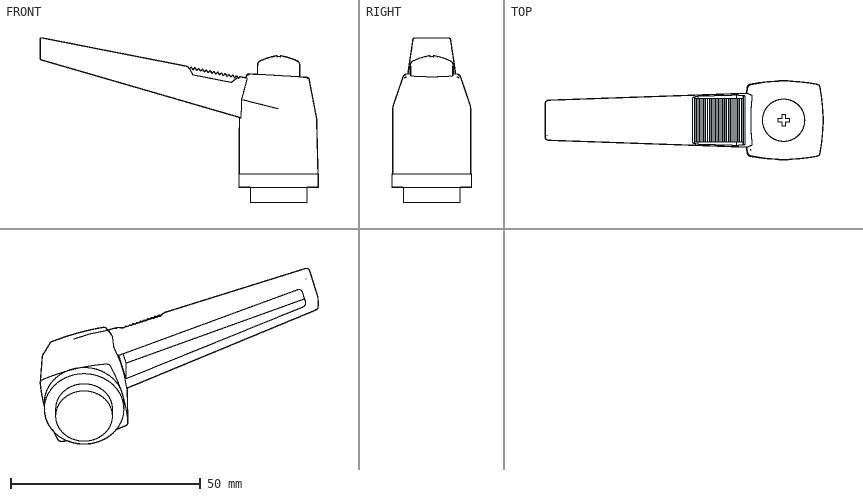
import cadquery as cq
import math


spigot_diameter = 15.0
spigot_height = 4.05
collar_diameter = 21.0
collar_top = 7.6

overall_length = 73.5
handle_end_x = collar_diameter / 2 - overall_length
handle_root_x = -3.7
handle_end_z = 43.65
handle_top_slope = 0.196
handle_end_crease_drop = 2.95
handle_end_height = 5.9
handle_underside_slope = 0.29
crease_slope = 0.253
end_top_half_width = 4.9
end_crease_half_width = 5.3
end_bottom_half_width = 5.0
root_top_half_width = 6.7
root_crease_half_width = 7.35
root_bottom_half_width = 6.6
handle_end_radius = 0.95
handle_edge_radius = 0.45

cavity_end_x = -60.3
cavity_hub_x = -10.5
cavity_end_half_width = 2.65
cavity_hub_half_width = 3.6
cavity_corner_radius = 1.1
cavity_roof_thickness = 1.9

groove_count = 14
groove_pitch = 1.0
groove_width = 0.9
groove_depth = 0.6
first_groove_x = -23.6
grip_step_half_width = 5.8
grip_step_depth = 2.0
grip_step_top_start_x = -23.8
grip_step_top_end_x = -10.45
grip_step_floor_start_x = -22.65
grip_step_floor_end_x = -12.5

base_corners = (-9.6, 9.6, 9.55)
crease_corners = (-9.5, 9.1, 9.4)
top_corners = (-8.0, 7.65, 7.1)
base_bulge = 0.8
crease_bulge = 0.95
top_bulge = 0.4
hub_corner_radius = 0.9
hub_top_z = 33.6
hub_top_slope = 0.06
hub_top_radius = 0.65

screw_diameter = 11.2
screw_rim_z = 36.3
dome_diameter = 10.0
dome_z = 37.4
crown_diameter = 5.5
crown_z = 38.3
screw_top_z = 38.95
rim_bulge = 0.185
dome_bulge = 0.1
cross_length = 3.0
cross_width = 0.95
cross_depth = 0.7


def handle_top_z(x):
    return handle_end_z - handle_top_slope * (x - handle_end_x)


def crease_z(x):
    return handle_end_z - handle_end_crease_drop - crease_slope * (x - handle_end_x)


def underside_z(x):
    return handle_end_z - handle_end_height - handle_underside_slope * (x - handle_end_x)


def cap_plane_z(x):
    return hub_top_z - hub_top_slope * x


def base_plane_z(_):
    return collar_top


def hub_section(corners, bulge, plane_z):
    """Closed outline with four bulged sides and round corners, on the plane z = plane_z(x)."""
    left, right, half_depth = corners
    middle = (left + right) / 2
    radius = hub_corner_radius
    side_tilt = 2 * math.atan(bulge / (half_depth - radius))
    corner_turn = math.pi / 2 - 2 * side_tilt
    inset = radius / 2 * (1 - math.tan(corner_turn / 4))

    def point(x, y):
        return cq.Vector(x, y, plane_z(x))

    outline = [
        (left + radius, -half_depth),
        (middle, -half_depth - bulge),
        (right - radius, -half_depth),
        (right - inset, -half_depth + inset),
        (right, -half_depth + radius),
        (right + bulge, 0),
        (right, half_depth - radius),
        (right - inset, half_depth - inset),
        (right - radius, half_depth),
        (middle, half_depth + bulge),
        (left + radius, half_depth),
        (left + inset, half_depth - inset),
        (left, half_depth - radius),
        (left - bulge, 0),
        (left, -half_depth + radius),
        (left + inset, -half_depth + inset),
    ]
    points = [point(x, y) for x, y in outline]
    points.append(points[0])
    arcs = [cq.Edge.makeThreePointArc(*points[i:i + 3]) for i in range(0, len(outline), 2)]
    return cq.Wire.assembleEdges(arcs)


def make_hub():
    """Lower body up to the sloping crease, then a tapered cap with a rounded top edge."""
    base = hub_section(base_corners, base_bulge, base_plane_z)
    crease = hub_section(crease_corners, crease_bulge, crease_z)
    top = hub_section(top_corners, top_bulge, cap_plane_z)
    hub = cq.Workplane(cq.Solid.makeLoft([base, crease, top], True))
    return hub.faces(">Z").edges().fillet(hub_top_radius)


def handle_section(x, top_half_width, crease_half_width, bottom_half_width):
    """Six-sided section of the handle, widest at the crease."""
    right_side = [
        (top_half_width, handle_top_z(x)),
        (crease_half_width, crease_z(x)),
        (bottom_half_width, underside_z(x)),
    ]
    left_side = [(-y, z) for y, z in reversed(right_side)]
    return cq.Wire.makePolygon([cq.Vector(x, y, z) for y, z in right_side + left_side], close=True)


def make_handle():
    end = handle_section(handle_end_x, end_top_half_width, end_crease_half_width, end_bottom_half_width)
    root = handle_section(handle_root_x, root_top_half_width, root_crease_half_width, root_bottom_half_width)
    handle = cq.Workplane(cq.Solid.makeLoft([end, root], True))
    handle = handle.faces("<X").edges("not |Y").fillet(handle_end_radius)
    middle_x = (handle_end_x + handle_root_x) / 2
    on_top = cq.NearestToPointSelector((middle_x, 0, handle_top_z(middle_x)))
    on_underside = cq.NearestToPointSelector((middle_x, 0, underside_z(middle_x)))
    rims = handle.faces(on_top).edges().add(handle.faces(on_underside).edges())
    return rims.edges("not >X").fillet(handle_edge_radius)


def make_cavity():
    """Tapering pocket in plan, open below, with a roof parallel to the handle top."""
    plan = (
        cq.Workplane("XY")
        .polyline([
            (cavity_end_x, -cavity_end_half_width),
            (cavity_hub_x, -cavity_hub_half_width),
            (cavity_hub_x, cavity_hub_half_width),
            (cavity_end_x, cavity_end_half_width),
        ])
        .close()
        .extrude(handle_end_z)
        .edges("|Z and <X")
        .fillet(cavity_corner_radius)
    )
    below_roof = (
        cq.Workplane("XZ")
        .polyline([
            (handle_end_x, 0),
            (cavity_hub_x, 0),
            (cavity_hub_x, handle_top_z(cavity_hub_x) - cavity_roof_thickness),
            (handle_end_x, handle_end_z - cavity_roof_thickness),
        ])
        .close()
        .extrude(cavity_hub_half_width, both=True)
    )
    return plan.intersect(below_roof)


def make_grip_cutters():
    """V grooves across the handle top and a stepped side along each end of the grooves."""
    grooves = cq.Workplane("XZ")
    for i in range(groove_count):
        x = first_groove_x + i * groove_pitch
        start = x - groove_width / 2
        end = x + groove_width / 2
        grooves = grooves.polyline([
            (start, handle_top_z(start)),
            (x, handle_top_z(x) - groove_depth),
            (end, handle_top_z(end)),
            (x, handle_top_z(x) + groove_depth),
        ]).close()
    cutters = grooves.extrude(collar_diameter / 2, both=True)
    step = (
        cq.Workplane("XZ", origin=(0, -grip_step_half_width, 0))
        .polyline([
            (grip_step_top_start_x, handle_top_z(grip_step_top_start_x)),
            (grip_step_floor_start_x, handle_top_z(grip_step_floor_start_x) - grip_step_depth),
            (grip_step_floor_end_x, handle_top_z(grip_step_floor_end_x) - grip_step_depth),
            (grip_step_top_end_x, handle_top_z(grip_step_top_end_x)),
        ])
        .close()
        .extrude(collar_diameter / 2)
    )
    return cutters.union(step).union(step.mirror("XZ"))


def make_screw():
    """Round screw head with a domed top and a cross recess."""
    top = (0, screw_top_z)
    rim = (screw_diameter / 2, screw_rim_z)
    shoulder = (dome_diameter / 2, dome_z)
    crown = (crown_diameter / 2, crown_z)
    head = (
        cq.Workplane("XZ")
        .moveTo(0, collar_top)
        .lineTo(rim[0], collar_top)
        .lineTo(*rim)
        .sagittaArc(shoulder, -rim_bulge)
        .sagittaArc(crown, -dome_bulge)
        .sagittaArc(top, -dome_bulge)
        .close()
        .revolve(axisStart=(0, 0, 0), axisEnd=(0, 1, 0))
    )
    recess = (
        cq.Workplane("XY", origin=(0, 0, screw_top_z - cross_depth))
        .rect(cross_length, cross_width)
        .extrude(cross_depth)
    )
    return head.cut(recess).cut(recess.rotate((0, 0, 0), (0, 0, 1), 90))


def make_foot():
    collar = cq.Workplane("XY", origin=(0, 0, spigot_height)).circle(collar_diameter / 2)
    spigot = cq.Workplane("XY").circle(spigot_diameter / 2)
    return collar.extrude(collar_top - spigot_height).union(spigot.extrude(spigot_height))


handle = make_handle().cut(make_cavity()).cut(make_grip_cutters())
result = make_foot().union(make_hub()).union(handle).union(make_screw())